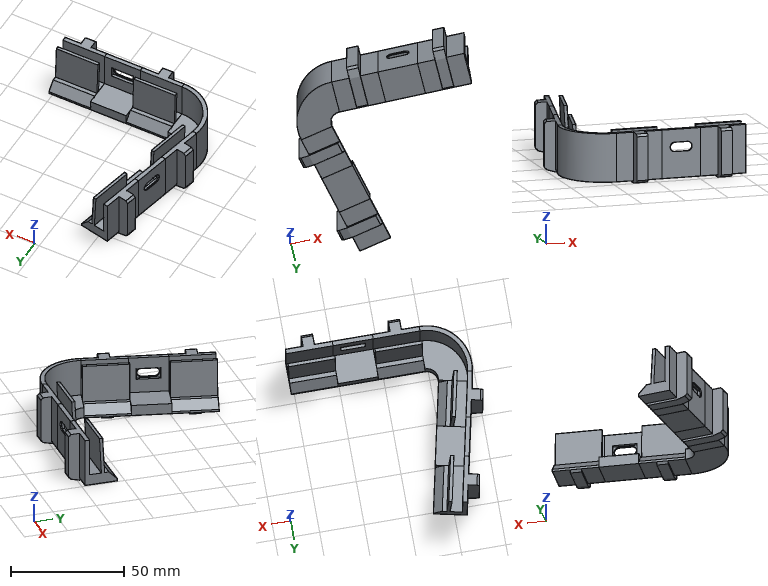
import cadquery as cq
import math


overall_length = 87.9
corner_angle = 77.8
outer_radius = 20.05
channel_width = 15.0
wall_height = 22.0
wall_thickness = 2.1
floor_thickness = 5.0

ramp_width = 4.0
ramp_drop = 4.0
inner_wall_start = 6.0
inner_wall_thickness = 1.5
inner_wall_lean = 0.9

rib_width = 5.1
rib_depth = 5.0
foot_depth = 1.05
rib_chamfer = 1.05

middle_length = 18.0
slot_length = 10.0
slot_height = 4.2
slot_z = 14.0
slot_lip = 0.7
recess_margin = 0.4

inner_radius = outer_radius - channel_width
wall_inner_radius = outer_radius - wall_thickness
inner_wall_radius = inner_radius + inner_wall_start
rib_radius = outer_radius + rib_depth
angle = math.radians(corner_angle)
leg_length = (overall_length - rib_radius - outer_radius * math.cos(angle)) / math.sin(angle)
end_length = (leg_length - middle_length) / 2
bend_angle = 180 - corner_angle


def section(points):
    """Closed outline of (distance from the bend axis, height) points, across the first leg at X = 0."""
    return cq.Workplane("YZ").polyline([(-radius, z) for radius, z in points]).close()


def plain_channel():
    """L-shaped section: outer wall and flat floor."""
    return section([
        (inner_radius, 0),
        (outer_radius, 0),
        (outer_radius, wall_height),
        (wall_inner_radius, wall_height),
        (wall_inner_radius, floor_thickness),
        (inner_radius, floor_thickness),
    ])


def walled_channel():
    """Section with an inner wall leaning towards the outer wall and a ramp to the free floor edge."""
    return section([
        (inner_radius, 0),
        (outer_radius, 0),
        (outer_radius, wall_height),
        (wall_inner_radius, wall_height),
        (wall_inner_radius, floor_thickness),
        (inner_wall_radius + inner_wall_thickness, floor_thickness),
        (inner_wall_radius + inner_wall_thickness + inner_wall_lean, wall_height),
        (inner_wall_radius + inner_wall_lean, wall_height),
        (inner_wall_radius, floor_thickness),
        (inner_radius + ramp_width, floor_thickness),
        (inner_radius, floor_thickness - ramp_drop),
    ])


def rib():
    """Rib centred on X = 0, running down the outer wall and under the floor to the free edge."""
    outline = section([
        (inner_radius, 0),
        (inner_radius + foot_depth, -foot_depth),
        (outer_radius, -foot_depth),
        (rib_radius - rib_chamfer, 0),
        (rib_radius, rib_chamfer),
        (rib_radius, wall_height - rib_chamfer),
        (rib_radius - rib_chamfer, wall_height),
        (outer_radius, wall_height),
        (outer_radius, 0),
    ])
    return outline.extrude(rib_width / 2, both=True)


def make_bend():
    return plain_channel().revolve(bend_angle, (0, 0, 0), (0, -1, 0))


def make_end_segment(start):
    centred_rib = rib().translate((end_length / 2, 0, 0))
    return walled_channel().extrude(end_length).union(centred_rib).translate((start, 0, 0))


def make_middle_segment(start):
    wall_outside = cq.Workplane("XZ", origin=(middle_length / 2, -outer_radius, slot_z))
    slot = wall_outside.slot2D(slot_length, slot_height).extrude(-wall_thickness)
    recess = (
        wall_outside.workplane(offset=-slot_lip)
        .rect(slot_length + 2 * recess_margin, slot_height + 2 * recess_margin)
        .extrude(slot_lip - wall_thickness)
    )
    segment = plain_channel().extrude(middle_length)
    return segment.cut(slot).cut(recess).translate((start, 0, 0))


def on_second_leg(segment):
    return segment.mirror("XZ").rotate((0, 0, 0), (0, 0, 1), corner_angle)


bend = make_bend()

end_segments = []
for start in (0, end_length + middle_length):
    segment = make_end_segment(start)
    end_segments += [segment.val(), on_second_leg(segment).val()]

middle_segment = make_middle_segment(end_length)
middle_segments = [middle_segment.val(), on_second_leg(middle_segment).val()]

result = cq.Compound.makeCompound([bend.val(), *end_segments, *middle_segments])